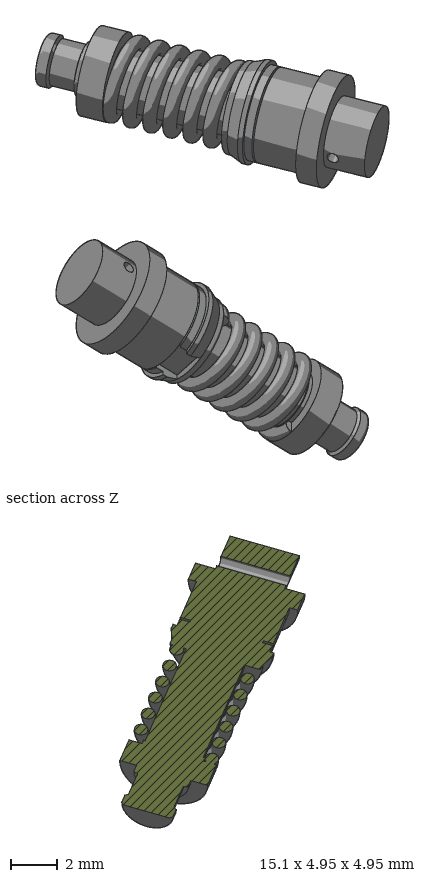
import cadquery as cq

head_end = 0.53
neck_start = 0.63
shoulder_start = 1.79
disc_start = 2.18
disc_end = 3.37
step_end = 3.55
seat_start = 8.75
cone_start = 9.04
cone_end = 9.58
lip_end = 9.8
groove_start = 10.17
barrel_start = 10.24
flange_start = 12.27
flange_end = 13.21
length = 15.06

head_radius = 2.33 / 2
neck_radius = 1.04
shoulder_radius = 1.23
disc_radius = 1.99
step_radius = 1.4
rod_radius = 1.33
seat_radius = 2.06
lip_radius = 2.29
barrel_radius = 2.11
groove_radius = 1.65
flange_radius = 4.95 / 2
tail_radius = 3.15 / 2

head_fillet = 0.18
shoulder_fillet = 0.1
seat_fillet = 0.09

spring_length = 5.21
spring_turns = 5.75
wire_radius = 0.3
coil_clearance = 0.008
coil_radius = disc_radius - wire_radius - coil_clearance

keyway_width = 1.57
hole_diameter = 0.51
hole_x = 13.63


def section(start, end, radius):
    """Cylinder on the X axis between two stations."""
    return cq.Workplane("YZ", origin=(start, 0, 0)).circle(radius).extrude(end - start)


def cone(start, end, start_radius, end_radius):
    """Truncated cone on the X axis between two stations."""
    profile = [(start, 0), (start, start_radius), (end, end_radius), (end, 0)]
    return cq.Workplane("XY").polyline(profile).close().revolve(360, (0, 0, 0), (1, 0, 0))


def make_plunger():
    """Rounded head, neck, shoulder, spring disc and rod."""
    head = section(0, head_end, head_radius).faces("<X").edges().fillet(head_fillet)
    shoulder = section(shoulder_start, disc_start, shoulder_radius)
    shoulder = shoulder.faces("<X").edges().fillet(shoulder_fillet)
    return (
        head.union(cone(head_end, neck_start, head_radius, neck_radius))
        .union(section(neck_start, shoulder_start, neck_radius))
        .union(shoulder)
        .union(section(disc_start, disc_end, disc_radius))
        .union(section(disc_end, step_end, step_radius))
        .union(section(step_end, seat_start, rod_radius))
    )


def make_body():
    """Spring seat, cone, grooved barrel, flange and tail."""
    seat = section(seat_start, cone_start, seat_radius).faces("<X").edges().fillet(seat_fillet)
    body = (
        seat.union(cone(cone_start, cone_end, seat_radius, lip_radius))
        .union(section(cone_end, lip_end, lip_radius))
        .union(section(lip_end, groove_start, barrel_radius))
        .union(section(groove_start, barrel_start, groove_radius))
        .union(section(barrel_start, flange_start, barrel_radius))
        .union(section(flange_start, flange_end, flange_radius))
        .union(section(flange_end, length, tail_radius))
    )
    keyway = cq.Workplane("XY", origin=(cone_start, 0, -lip_radius)).box(
        barrel_start - cone_start,
        keyway_width,
        lip_radius - groove_radius,
        centered=(False, True, False),
    )
    hole = (
        cq.Workplane("XZ", origin=(hole_x, 0, 0))
        .circle(hole_diameter / 2)
        .extrude(2 * tail_radius, both=True)
    )
    return body.cut(keyway).cut(hole)


def make_spring():
    """Left-hand coil starting at the underside of the disc's rear face."""
    path = cq.Wire.makeHelix(spring_length / spring_turns, spring_length, coil_radius, lefthand=True)
    coil = (
        cq.Workplane("XZ", origin=(coil_radius, 0, 0))
        .circle(wire_radius)
        .sweep(cq.Workplane(obj=path), isFrenet=True)
    )
    return coil.rotate((0, 0, 0), (0, 1, 0), 90).translate((disc_end, 0, 0))


result = make_plunger().union(make_body()).union(make_spring())